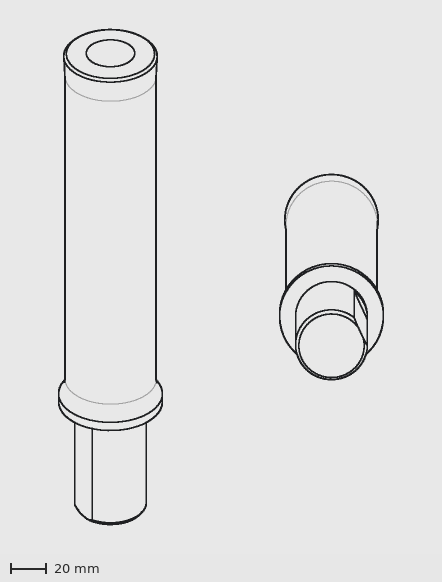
import cadquery as cq
import math

TOTAL_HEIGHT = 303.0
FLANGE_BOTTOM = 70.0
FLANGE_THICKNESS = 5.5
FLARE_HEIGHT = 10.0
HEAD_HEIGHT = 15.0

TUBE_RADIUS = 51.0 / 2
FLANGE_RADIUS = 58.0 / 2
HEAD_RADIUS = 52.0 / 2
RIM_WIDTH = 1.5
RIM_HEIGHT = 2.0
DOME_RISE = 0.5

FLARE_MID_RISE = 4.0
FLARE_MID_OFFSET = 1.05

SHANK_RADIUS = 40.0 / 2
CORE_RADIUS = 27.0 / 2
CHAMFER_WIDTH = 1.8
CHAMFER_HEIGHT = 2.5
FLAT_DISTANCE = 18.0
FLAT_END_GAP = 4.5

FLANGE_TOP = FLANGE_BOTTOM + FLANGE_THICKNESS
FLARE_TOP = FLANGE_TOP + FLARE_HEIGHT
HEAD_BOTTOM = TOTAL_HEIGHT - HEAD_HEIGHT
RIM_BOTTOM = TOTAL_HEIGHT - RIM_HEIGHT

DOME_EDGE_RADIUS = HEAD_RADIUS - RIM_WIDTH
DOME_EDGE_HEIGHT = TOTAL_HEIGHT - DOME_RISE
DOME_MID_RADIUS = (DOME_EDGE_RADIUS + CORE_RADIUS) / 2
SPHERE_RADIUS = (DOME_EDGE_RADIUS**2 + DOME_RISE**2) / (2 * DOME_RISE)


def dome_height(radius):
    """Height of the domed top at a given distance from the axis."""
    return TOTAL_HEIGHT - SPHERE_RADIUS + math.sqrt(SPHERE_RADIUS**2 - radius**2)


def make_sleeve():
    """Grip sleeve: flared bottom flange, plain tube and slightly tapered head, bored for the core."""
    return (
        cq.Workplane("XZ")
        .moveTo(CORE_RADIUS, FLANGE_BOTTOM)
        .lineTo(FLANGE_RADIUS, FLANGE_BOTTOM)
        .lineTo(FLANGE_RADIUS, FLANGE_TOP)
        .threePointArc(
            (TUBE_RADIUS + FLARE_MID_OFFSET, FLANGE_TOP + FLARE_MID_RISE),
            (TUBE_RADIUS, FLARE_TOP),
        )
        .lineTo(TUBE_RADIUS, HEAD_BOTTOM)
        .lineTo(HEAD_RADIUS, RIM_BOTTOM)
        .lineTo(DOME_EDGE_RADIUS, DOME_EDGE_HEIGHT)
        .threePointArc(
            (DOME_MID_RADIUS, dome_height(DOME_MID_RADIUS)),
            (CORE_RADIUS, dome_height(CORE_RADIUS)),
        )
        .close()
        .revolve(360, (0, 0, 0), (0, 1, 0))
    )


def make_flat_cutter():
    """Block that removes the -Y side of the shank, ending just below the flange."""
    return (
        cq.Workplane("XY")
        .box(2 * SHANK_RADIUS, SHANK_RADIUS, FLANGE_BOTTOM - FLAT_END_GAP, centered=(True, False, False))
        .translate((0, -FLAT_DISTANCE - SHANK_RADIUS, 0))
    )


def make_shaft():
    """Stepped shaft: chamfered shank with one flat, and a core that continues the domed top."""
    shaft = (
        cq.Workplane("XZ")
        .lineTo(SHANK_RADIUS - CHAMFER_WIDTH, 0)
        .lineTo(SHANK_RADIUS, CHAMFER_HEIGHT)
        .lineTo(SHANK_RADIUS, FLANGE_BOTTOM)
        .lineTo(CORE_RADIUS, FLANGE_BOTTOM)
        .lineTo(CORE_RADIUS, dome_height(CORE_RADIUS))
        .threePointArc((CORE_RADIUS / 2, dome_height(CORE_RADIUS / 2)), (0, TOTAL_HEIGHT))
        .close()
        .revolve(360, (0, 0, 0), (0, 1, 0))
    )
    return shaft.cut(make_flat_cutter())


sleeve = make_sleeve()
shaft = make_shaft()

result = cq.Compound.makeCompound([sleeve.val(), shaft.val()])